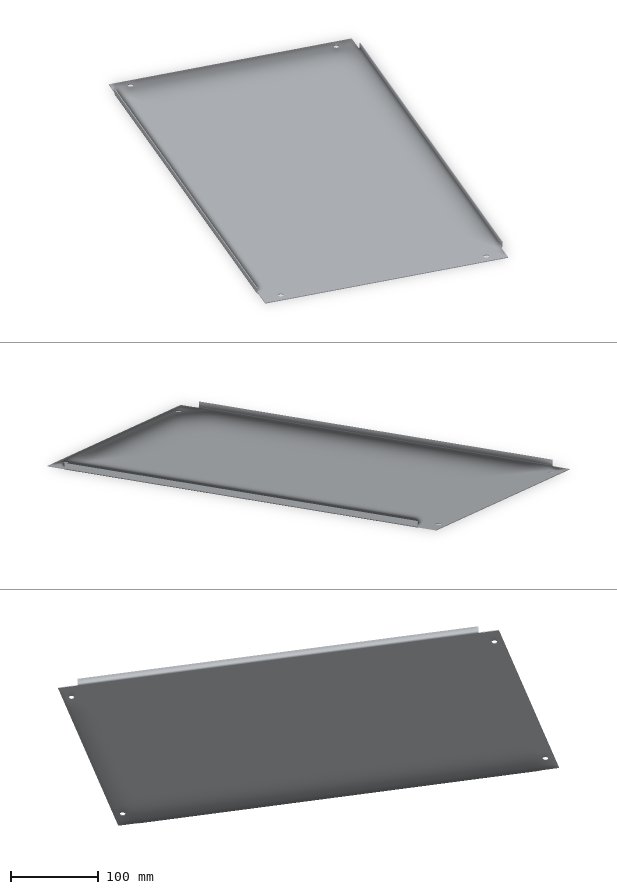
import cadquery as cq

length = 517.0
overall_width = 299.0
overall_height = 8.0
sheet_thickness = 1.0

flange_length = 470.0
bend_inner_radius = 1.0
bend_outer_radius = bend_inner_radius + sheet_thickness

plate_width = overall_width - 2 * bend_outer_radius

hole_diameter = 6.5
hole_spacing_x = 496.0
hole_spacing_y = 250.0


def make_plate():
    """Flat base plate resting on Z = 0."""
    return cq.Workplane("XY").box(length, plate_width, sheet_thickness, centered=(True, True, False))


def make_rounded_block(width, base_height, bottom_radius):
    """Flange-length block standing on base_height, its long bottom edges rounded."""
    return (
        cq.Workplane("XY", origin=(0, 0, base_height))
        .box(flange_length, width, overall_height - base_height, centered=(True, True, False))
        .edges("|X and <Z")
        .fillet(bottom_radius)
    )


def make_channel():
    """Shallow channel whose side walls are the two bent-up flanges."""
    inner_width = overall_width - 2 * sheet_thickness
    outer = make_rounded_block(overall_width, 0, bend_outer_radius)
    inner = make_rounded_block(inner_width, sheet_thickness, bend_inner_radius)
    return outer.cut(inner)


def drill_corner_holes(panel):
    """Four through holes, one near each corner."""
    drills = (
        cq.Workplane("XY")
        .rect(hole_spacing_x, hole_spacing_y, forConstruction=True)
        .vertices()
        .circle(hole_diameter / 2)
        .extrude(sheet_thickness)
    )
    return panel.cut(drills)


panel_blank = make_plate().union(make_channel())
result = drill_corner_holes(panel_blank)